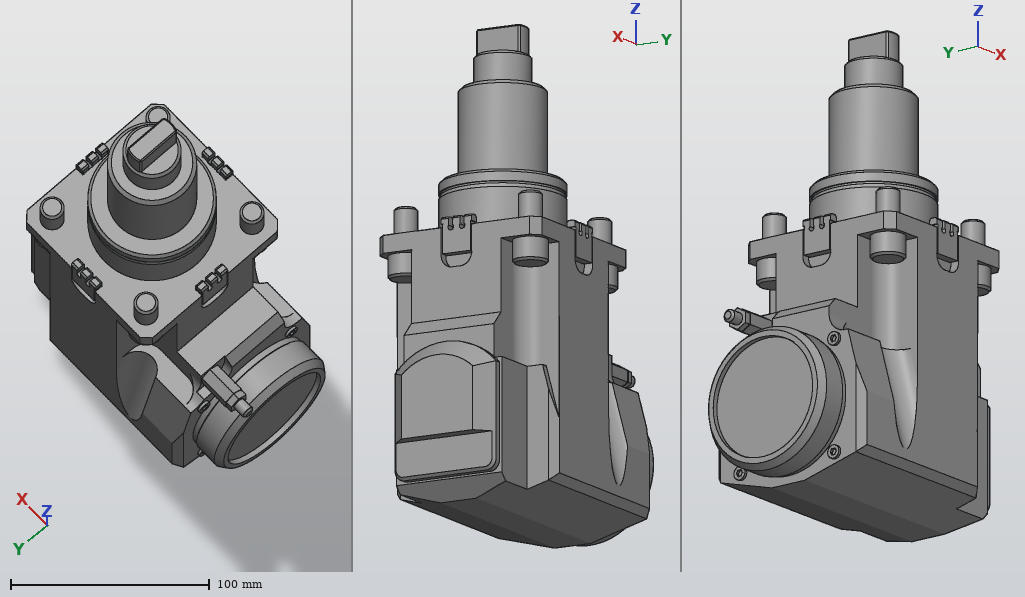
import cadquery as cq
import math

total_height = 253.0

flange_half_x = 46.8
flange_half_y = 47.0
flange_top = 141.7
flange_bottom = 132.3
flange_corner = 4.5
web_half_x = 24.8
neck_half_y = 26.0
pocket_radius = 10.0
pocket_axis_x = web_half_x + pocket_radius
pocket_axis_y = neck_half_y + pocket_radius
shoulder_z = 94.0

head_z = 41.0
front_x = -70.3
rear_x = 54.1
side_end_x = 28.5
rear_half_y = 30.5
front_ledge_z = 74.6
rear_ledge_z = 69.0
corner_chamfer = 4.0
keel_half_y = 10.4
keel_edge_z = 8.9
front_top_chamfer = 5.0
rear_top_chamfer = 7.5
rear_bottom_chamfer = 9.4
lip_end_x = -55.2
slope_angle = 15.0
slope_end_z = 41.0
scoop_axis_z = 57.5

nozzle_y = 20.0
nozzle_z = 87.0
recess_radius = 10.0
recess_bottom = 77.7
recess_floor_x = -64.8


def box(x0, x1, y0, y1, z0, z1):
    """Box between two opposite corners."""
    return cq.Workplane("XY").box(x1 - x0, y1 - y0, z1 - z0, centered=False).translate((x0, y0, z0))


def disc_x(x0, x1, radius, y, z):
    """Cylinder along X."""
    return cq.Workplane("YZ", origin=(x0, y, z)).circle(radius).extrude(x1 - x0)


def disc_z(x, y, z0, z1, radius):
    """Cylinder along Z."""
    return cq.Workplane("XY", origin=(x, y, z0)).circle(radius).extrude(z1 - z0)


def both_sides(shape):
    """The shape together with its mirror image across the XZ plane."""
    return shape.union(shape.mirror("XZ"))


def body_blank():
    """Side outline of column and lower body, trimmed by the keel outline."""
    side_outline = [
        (front_x, 0),
        (front_x, shoulder_z - front_top_chamfer),
        (front_x + front_top_chamfer, shoulder_z),
        (-flange_half_x, shoulder_z),
        (-flange_half_x, flange_bottom),
        (flange_half_x, flange_bottom),
        (flange_half_x, shoulder_z),
        (rear_x, shoulder_z - rear_top_chamfer),
        (rear_x, rear_bottom_chamfer),
        (rear_x - rear_bottom_chamfer, 0),
    ]
    blank = cq.Workplane("XZ").polyline(side_outline).close().extrude(flange_half_y, both=True)
    keel_y = flange_half_y - corner_chamfer
    half = [
        (keel_half_y, 0),
        (keel_y, keel_edge_z),
        (flange_half_y, keel_edge_z + corner_chamfer),
        (flange_half_y, flange_bottom),
    ]
    outline = half + [(-y, z) for y, z in reversed(half)]
    keel = cq.Workplane("YZ", origin=(front_x, 0, 0)).polyline(outline).close().extrude(rear_x - front_x)
    return blank.intersect(keel)


def bolt_pocket(direction, end_x, ledge_z):
    """Open corner beside the column, above a ledge on the -Y side."""
    xs = sorted([direction * web_half_x, end_x])
    pocket = box(*xs, -flange_half_y, -neck_half_y, ledge_z, flange_bottom)
    inner_side = "<X" if direction > 0 else ">X"
    return pocket.faces(inner_side).edges(">Y").fillet(pocket_radius)


def front_lip():
    """Concave flare that widens the front face from the neck to the ledge."""
    lip_top = front_ledge_z + pocket_radius
    lip = box(front_x, lip_end_x, -pocket_axis_y, -neck_half_y, front_ledge_z, lip_top)
    lip = lip.cut(disc_x(front_x, lip_end_x, pocket_radius, -pocket_axis_y, lip_top))
    return lip.cut(disc_z(lip_end_x, -pocket_axis_y, front_ledge_z, lip_top, pocket_radius))


def flank_wedge(x0, x1):
    """Wedge that tilts the flank inward above slope_end_z."""
    rise = front_ledge_z - slope_end_z
    triangle = [
        (-flange_half_y, slope_end_z),
        (-flange_half_y, front_ledge_z),
        (-flange_half_y + rise * math.tan(math.radians(slope_angle)), front_ledge_z),
    ]
    return cq.Workplane("YZ", origin=(x0, 0, 0)).polyline(triangle).close().extrude(x1 - x0)


def scoop():
    """Tilted round groove that runs the front bolt pocket out through the flank."""
    reach = 3 * flange_half_y
    groove = cq.Workplane("XY").circle(pocket_radius).extrude(reach, both=True)
    groove = groove.union(box(-pocket_radius, pocket_radius, -reach, 0, -reach, reach))
    groove = groove.rotate((0, 0, 0), (1, 0, 0), -slope_angle)
    groove = groove.translate((-pocket_axis_x, -flange_half_y, scoop_axis_z))
    return groove.intersect(box(front_x, 0, -2 * flange_half_y, 0, 0, front_ledge_z))


def vertical_corner(x, direction):
    """Prism that bevels a vertical corner of the lower body."""
    points = [
        (x, -flange_half_y),
        (x - direction * corner_chamfer, -flange_half_y),
        (x, -flange_half_y + corner_chamfer),
    ]
    return cq.Workplane("XY").polyline(points).close().extrude(shoulder_z)


def nozzle_recess():
    """Step in the front face around the nozzle, open upward and sideways."""
    recess = box(front_x, recess_floor_x, nozzle_y - recess_radius, flange_half_y, recess_bottom, shoulder_z)
    return recess.faces("<Y").edges("<Z").fillet(recess_radius)


def housing():
    body = body_blank()
    cuts = [
        bolt_pocket(-1, front_x, front_ledge_z),
        bolt_pocket(1, rear_x, rear_ledge_z),
        box(side_end_x, rear_x, -flange_half_y, -rear_half_y, 0, flange_bottom),
        flank_wedge(front_x, -pocket_axis_x),
        flank_wedge(web_half_x, side_end_x),
        scoop(),
        vertical_corner(front_x, -1),
        vertical_corner(side_end_x, 1),
    ]
    for cut in cuts:
        body = body.cut(both_sides(cut))
    body = body.union(both_sides(front_lip()))
    body = body.cut(nozzle_recess())
    flange = box(-flange_half_x, flange_half_x, -flange_half_y, flange_half_y, flange_bottom, flange_top)
    return body.union(flange.edges("|Z").chamfer(flange_corner))


collar_radius = 32.5
collar_top = 173.3
collar_chamfer = 1.5
groove_top = 167.0
groove_bottom = 166.0
groove_bevel_bottom = 164.0
groove_depth = 0.8
sleeve_radius = 22.5
sleeve_top = 222.0
sleeve_chamfer = 2.0
pin_radius = 14.7
pin_top = 238.8
pin_chamfer = 1.5
tang_thickness = 10.0
tang_end_radius = 13.5
tang_chamfer = 0.8


def spindle():
    collar = disc_z(0, 0, flange_bottom, collar_top, collar_radius).faces(">Z").chamfer(collar_chamfer)
    groove_profile = [
        (collar_radius, groove_top),
        (collar_radius - groove_depth, groove_top),
        (collar_radius - groove_depth, groove_bottom),
        (collar_radius, groove_bevel_bottom),
    ]
    groove = cq.Workplane("XZ").polyline(groove_profile).close().revolve(360, (0, 0, 0), (0, 1, 0))
    sleeve = disc_z(0, 0, flange_bottom, sleeve_top, sleeve_radius).faces(">Z").chamfer(sleeve_chamfer)
    pin = disc_z(0, 0, flange_bottom, pin_top, pin_radius).faces(">Z").chamfer(pin_chamfer)
    tang = disc_z(0, 0, sleeve_top, total_height, tang_end_radius)
    slab = box(-tang_thickness / 2, tang_thickness / 2, -tang_end_radius, tang_end_radius,
               sleeve_top, total_height)
    tang = tang.intersect(slab)
    tang = tang.edges("|Z or >Z").chamfer(tang_chamfer)
    return collar.cut(groove).union(sleeve).union(pin).union(tang)


bolt_radius = 6.0
bolt_top = 157.0
bolt_head_radius = 9.0
bolt_head_bottom = 120.5
bolt_chamfer = 1.3


def flange_bolts():
    bolt = disc_z(0, 0, flange_bottom, bolt_top, bolt_radius).faces(">Z").chamfer(bolt_chamfer)
    head = disc_z(0, 0, bolt_head_bottom, flange_bottom, bolt_head_radius).faces("<Z").chamfer(bolt_chamfer)
    bolts = cq.Workplane("XY")
    for x in (-pocket_axis_x, pocket_axis_x):
        for y in (-pocket_axis_y, pocket_axis_y):
            bolts = bolts.add(bolt.union(head).translate((x, y, 0)))
    return bolts.combine()


clip_slot_width = 17.7
clip_slot_bottom = 120.7
clip_slot_radius = 6.5
clip_depth = 4.8
clip_width = 16.2
clip_bottom = 128.0
clip_top = 147.0
clip_head_bottom = 143.5
clip_gap_bottom = 140.0
clip_gap_width = 2.3
clip_gap_offset = 3.3
clip_gap_end_radius = 1.5
clip_chamfer = 1.0


def clip_slot():
    """Slot for a clip, its outer face on the XZ plane."""
    slot = box(-clip_slot_width / 2, clip_slot_width / 2, 0, clip_depth, clip_slot_bottom, flange_top)
    return slot.edges("|Y and <Z").fillet(clip_slot_radius)


def clip():
    """Three-pronged clip, its outer face on the XZ plane."""
    plate = box(-clip_width / 2, clip_width / 2, 0, clip_depth, clip_bottom, clip_top)
    head = box(-clip_slot_width / 2, clip_slot_width / 2, 0, clip_depth, clip_head_bottom, clip_top)
    plate = plate.union(head)
    plate = plate.faces(">Z").edges("|X").chamfer(clip_chamfer)
    gap_end_z = clip_gap_bottom + clip_gap_end_radius
    for x in (-clip_gap_offset, clip_gap_offset):
        gap = box(x - clip_gap_width / 2, x + clip_gap_width / 2, 0, clip_depth, gap_end_z, clip_top)
        gap_end = cq.Workplane("XZ", origin=(x, 0, gap_end_z)).circle(clip_gap_end_radius)
        plate = plate.cut(gap).cut(gap_end.extrude(-clip_depth))
    return plate


def on_flange_sides(shape):
    """Copies of a clip shape on all four flange sides."""
    copies = cq.Workplane("XY")
    for turn, offset in enumerate([flange_half_y, flange_half_x, flange_half_y, flange_half_x]):
        copy = shape.translate((0, -offset, 0))
        copies = copies.add(copy.rotate((0, 0, 0), (0, 0, 1), 90 * turn))
    return copies.combine()


ring_radius = 37.5
ring_front_x = -91.0
ring_back_x = -74.0
ring_chamfer = 4.0
ring_rim_chamfer = 2.8
ring_neck_radius = 36.7
ring_recess_radius = 31.5
ring_recess_depth = 3.0
screw_offset = 29.9
screw_radius = 3.5
screw_height = 1.5
screw_socket_size = 3.8


def front_ring():
    ring = disc_x(ring_front_x, ring_back_x, ring_radius, 0, head_z)
    ring = ring.faces("<X").chamfer(ring_chamfer, ring_rim_chamfer)
    ring = ring.union(disc_x(ring_back_x, front_x, ring_neck_radius, 0, head_z))
    recess = disc_x(ring_front_x, ring_front_x + ring_recess_depth, ring_recess_radius, 0, head_z)
    return ring.cut(recess)


def ring_screws():
    head = disc_x(front_x - screw_height, front_x, screw_radius, 0, 0)
    socket = cq.Workplane("YZ", origin=(front_x - screw_height, 0, 0)).polygon(6, screw_socket_size)
    head = head.cut(socket.extrude(screw_height))
    screws = cq.Workplane("XY")
    for y in (-screw_offset, screw_offset):
        for z in (head_z - screw_offset, head_z + screw_offset):
            screws = screws.add(head.translate((0, y, z)))
    return screws.combine()


nozzle_tip_x = -94.0
nozzle_collar_x = -86.3
nozzle_hex_x = -82.5
nozzle_hex_size = 12.5
nozzle_collar_size = 11.6
nozzle_tip_radius = 3.3
nozzle_tip_chamfer = 1.3


def hexagon_x(x0, x1, size):
    """Hexagonal bar along X with a corner at the top."""
    bar = cq.Workplane("YZ", origin=(x0, 0, 0)).polygon(6, size).extrude(x1 - x0)
    return bar.rotate((0, 0, 0), (1, 0, 0), 90)


def nozzle():
    body = hexagon_x(nozzle_hex_x, recess_floor_x, nozzle_hex_size)
    collar = hexagon_x(nozzle_collar_x, nozzle_hex_x, nozzle_collar_size)
    tip = disc_x(nozzle_tip_x, nozzle_collar_x, nozzle_tip_radius, 0, 0)
    tip = tip.faces("<X").chamfer(nozzle_tip_chamfer)
    return body.union(collar).union(tip).translate((0, nozzle_y, nozzle_z))


cover_radius = 38.7
cover_half_y = 29.3
cover_bottom = 29.9
cover_rim_x = 57.7
cover_end_x = 66.3
base_plate_x = 59.2
base_plate_bottom = 10.4
base_plate_corner = 5.5
base_plate_chamfer = 1.5


def rear_cover():
    """Arch with bevelled top and sides above a thin base plate."""
    bevel = cover_end_x - cover_rim_x
    arch = disc_x(rear_x, cover_end_x, cover_radius, 0, head_z)
    trim = box(rear_x, cover_end_x, -cover_half_y, cover_half_y, cover_bottom, head_z + cover_radius)
    arch = arch.intersect(trim)
    arch = arch.faces(">X").edges("not <Z").chamfer(bevel)
    plate = box(rear_x, base_plate_x, -cover_half_y, cover_half_y, base_plate_bottom, cover_bottom)
    plate = plate.edges("|X and <Z").fillet(base_plate_corner)
    plate = plate.faces(">X").edges("not >Z").chamfer(base_plate_chamfer)
    return arch.union(plate)


result = housing().cut(on_flange_sides(clip_slot()))
for feature in (on_flange_sides(clip()), spindle(), flange_bolts(), front_ring(), ring_screws(),
                nozzle(), rear_cover()):
    result = result.union(feature)